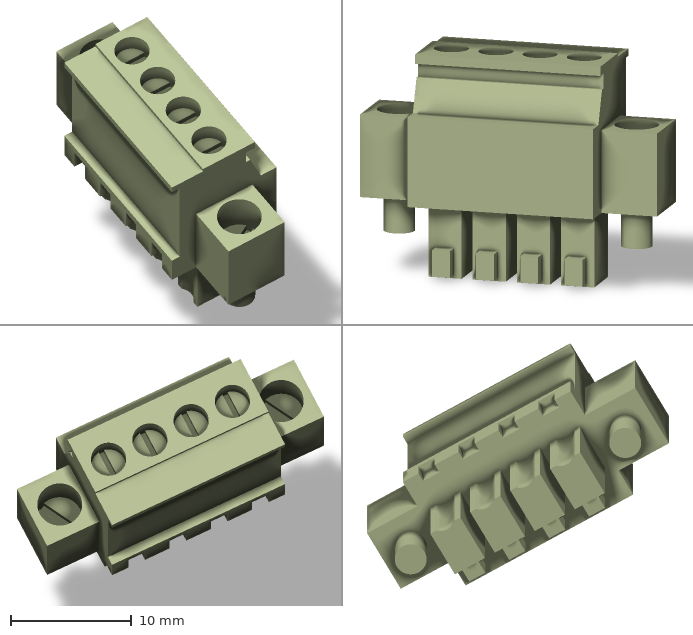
import cadquery as cq


LENGTH = 25.63
WIDTH = 10.45
BODY_LENGTH = 16.02
BODY_TOP = 12.5

POLE_COUNT = 4
POLE_PITCH = 3.82
POLE_XS = [(i - (POLE_COUNT - 1) / 2) * POLE_PITCH for i in range(POLE_COUNT)]

FRONT_Y = -WIDTH / 2
BACK_Y = WIDTH / 2
FOOT_DEPTH = 0.77
WALL_Y = FRONT_Y + FOOT_DEPTH
FOOT_HEIGHT = 2.55
LIP_BOTTOM = 11.58
LIP_TOP = 12.2
TOP_STEP_Y = -2.13
TOP_BACK_Y = 3.05
BACK_LIP_BOTTOM = 11.71
NECK_Y = 2.18
NECK_BOTTOM = 10.45
SLOPE_TOP_Y = 2.6
SLOPE_BOTTOM_Y = 3.67
LEDGE_HEIGHT = 7.66

NOTCH_WIDTH = 1.55
NOTCH_HEIGHT = 1.85

LEG_WIDTH = 2.87
LEG_FRONT_Y = -2.13
LEG_BACK_Y = 1.97
LEG_LENGTH = 6.59
GROOVE_WIDTH = 1.8
GROOVE_DEPTH = 0.35
KEY_WIDTH = 1.55
KEY_DEPTH = 1.23
KEY_TOP = -4.02
KEY_BOTTOM = -6.28

BORE_DIAMETER = 2.92
SCREW_DIAMETER = 2.82
SCREW_RECESS = 1.45
SCREW_LENGTH = 3.08
SCREW_SLOT_WIDTH = 0.49
SCREW_SLOT_DEPTH = 0.5

FLANGE_WIDTH = 5.61
FLANGE_HEIGHT = 7.05
FLANGE_SCREW_XS = (-10.25, 10.25)
HEAD_DIAMETER = 3.72
HEAD_RECESS = 3.33
HEAD_HEIGHT = 1.55
SHANK_DIAMETER = 2.65
SHANK_BOTTOM = -3.25
HEAD_SLOT_WIDTH = 0.62
HEAD_SLOT_DEPTH = 0.62
HEAD_SLOT_TILT = 28.0

HEAD_TOP = FLANGE_HEIGHT - HEAD_RECESS
HEAD_SEAT = HEAD_TOP - HEAD_HEIGHT
SCREW_TOP = BODY_TOP - SCREW_RECESS
SCREW_BOTTOM = SCREW_TOP - SCREW_LENGTH


def block(x_size, y_min, y_max, z_min, z_max, x_centre=0.0):
    """Box centred on x_centre that spans the given Y and Z limits."""
    return cq.Workplane("XY").box(x_size, y_max - y_min, z_max - z_min).translate(
        (x_centre, (y_min + y_max) / 2, (z_min + z_max) / 2)
    )


def cylinder(x, diameter, z_min, z_max):
    """Upright cylinder on the Y = 0 plane."""
    return cq.Workplane("XY", origin=(x, 0, z_min)).circle(diameter / 2).extrude(z_max - z_min)


def make_body():
    """Central block, extruded along X from its side profile."""
    profile = [
        (FRONT_Y, 0),
        (FRONT_Y, FOOT_HEIGHT),
        (WALL_Y, FOOT_HEIGHT),
        (WALL_Y, LIP_BOTTOM),
        (FRONT_Y, LIP_BOTTOM),
        (FRONT_Y, LIP_TOP),
        (TOP_STEP_Y, LIP_TOP),
        (TOP_STEP_Y, BODY_TOP),
        (TOP_BACK_Y, BODY_TOP),
        (TOP_BACK_Y, BACK_LIP_BOTTOM),
        (NECK_Y, BACK_LIP_BOTTOM),
        (NECK_Y, NECK_BOTTOM),
        (SLOPE_TOP_Y, NECK_BOTTOM),
        (SLOPE_BOTTOM_Y, LEDGE_HEIGHT),
        (BACK_Y, LEDGE_HEIGHT),
        (BACK_Y, 0),
    ]
    return cq.Workplane("YZ").polyline(profile).close().extrude(BODY_LENGTH / 2, both=True)


def make_leg(x):
    """Plug leg with a shallow round groove down its front and a key on its back."""
    half_groove = GROOVE_WIDTH / 2
    leg = (
        cq.Workplane("XY")
        .moveTo(x - LEG_WIDTH / 2, LEG_FRONT_Y)
        .lineTo(x - half_groove, LEG_FRONT_Y)
        .threePointArc((x, LEG_FRONT_Y + GROOVE_DEPTH), (x + half_groove, LEG_FRONT_Y))
        .lineTo(x + LEG_WIDTH / 2, LEG_FRONT_Y)
        .lineTo(x + LEG_WIDTH / 2, LEG_BACK_Y)
        .lineTo(x - LEG_WIDTH / 2, LEG_BACK_Y)
        .close()
        .extrude(-LEG_LENGTH)
    )
    key = block(KEY_WIDTH, LEG_BACK_Y, LEG_BACK_Y + KEY_DEPTH, KEY_BOTTOM, KEY_TOP, x)
    return leg.union(key)


def make_housing():
    """Central block with flanges, legs, foot notches and the bores for all screws."""
    housing = make_body()
    housing = housing.union(block(LENGTH, -FLANGE_WIDTH / 2, FLANGE_WIDTH / 2, 0, FLANGE_HEIGHT))

    for x in POLE_XS:
        housing = housing.union(make_leg(x))
        housing = housing.cut(block(NOTCH_WIDTH, FRONT_Y, WALL_Y, 0, NOTCH_HEIGHT, x))
        housing = housing.cut(cylinder(x, BORE_DIAMETER, SCREW_BOTTOM, BODY_TOP))

    for x in FLANGE_SCREW_XS:
        housing = housing.cut(cylinder(x, HEAD_DIAMETER, HEAD_SEAT, FLANGE_HEIGHT))
        housing = housing.cut(cylinder(x, SHANK_DIAMETER, 0, HEAD_SEAT))
    return housing


def make_terminal_screw(x):
    """Headless screw with a driver slot along Y."""
    screw = cylinder(x, SCREW_DIAMETER, SCREW_BOTTOM, SCREW_TOP)
    slot = block(
        SCREW_SLOT_WIDTH, -SCREW_DIAMETER, SCREW_DIAMETER, SCREW_TOP - SCREW_SLOT_DEPTH, SCREW_TOP, x
    )
    return screw.cut(slot)


def make_flange_screw(x):
    """Headed screw with a tilted driver slot; its shank comes out below the flange."""
    head = cylinder(x, HEAD_DIAMETER, HEAD_SEAT, HEAD_TOP)
    shank = cylinder(x, SHANK_DIAMETER, SHANK_BOTTOM, HEAD_SEAT)
    slot = block(HEAD_SLOT_WIDTH, -HEAD_DIAMETER, HEAD_DIAMETER, HEAD_TOP - HEAD_SLOT_DEPTH, HEAD_TOP)
    slot = slot.rotate((0, 0, 0), (0, 0, 1), HEAD_SLOT_TILT).translate((x, 0, 0))
    return head.union(shank).cut(slot)


housing = make_housing()
terminal_screws = [make_terminal_screw(x) for x in POLE_XS]
flange_screws = [make_flange_screw(x) for x in FLANGE_SCREW_XS]

result = cq.Compound.makeCompound(
    [
        housing.val(),
        *[screw.val() for screw in terminal_screws],
        *[screw.val() for screw in flange_screws],
    ]
)